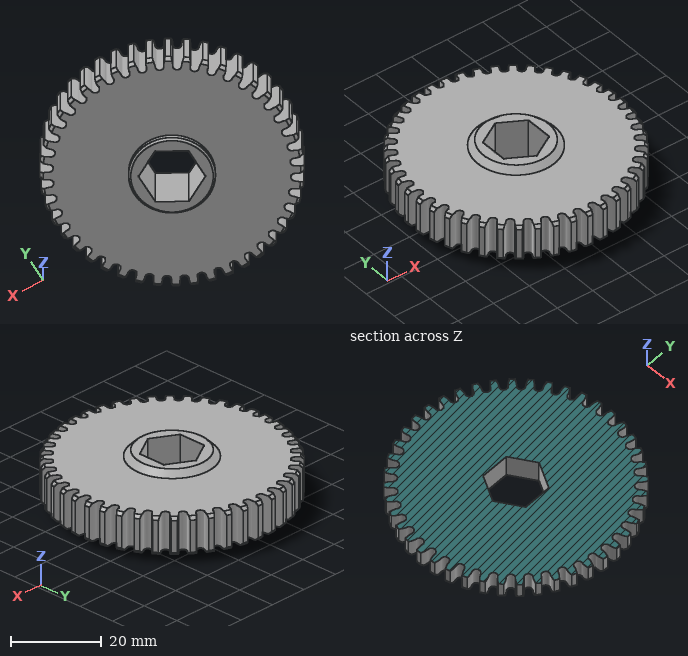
import cadquery as cq
import math

tooth_count = 44
diametral_pitch = 20 / 25.4
outer_radius = (tooth_count + 2) / diametral_pitch / 2
face_width = 9.525
tooth_end_chamfer = 0.762

root_radius = 26.25
gap_half_width = 0.97
base_radius = 27.5
cutter_overlap = 0.3
gap_end_radius = outer_radius + cutter_overlap

hub_height = 1.5875
top_hub_base_radius = 10.7
top_hub_taper = 45
bottom_hub_radius = 9.6
bottom_hub_chamfer = 0.5
hex_across_flats = 12.8

half_width = face_width / 2
total_height = face_width + 2 * hub_height


def flank_point(radius, side):
    """Point on the involute flank at a radius, for a gap centred on the X axis."""
    pressure_angle = math.acos(base_radius / radius)
    involute_angle = math.tan(pressure_angle) - pressure_angle
    angle = gap_half_width / base_radius + involute_angle
    return (radius * math.cos(angle), side * radius * math.sin(angle))


def make_gap_cutter():
    """Prism that removes one tooth gap, centred on the X axis."""
    root_center = root_radius + gap_half_width
    flank_middle_radius = (base_radius + gap_end_radius) / 2
    return (
        cq.Workplane("XY")
        .workplane(offset=-half_width)
        .moveTo(root_center, -gap_half_width)
        .threePointArc((root_radius, 0), (root_center, gap_half_width))
        .lineTo(*flank_point(base_radius, 1))
        .threePointArc(flank_point(flank_middle_radius, 1), flank_point(gap_end_radius, 1))
        .lineTo(*flank_point(gap_end_radius, -1))
        .threePointArc(flank_point(flank_middle_radius, -1), flank_point(base_radius, -1))
        .close()
        .extrude(face_width)
    )


def make_toothed_wheel():
    """Chamfered disc with the tooth gaps cut around its rim, centred on Z = 0."""
    disc = (
        cq.Workplane("XY")
        .circle(outer_radius)
        .extrude(half_width, both=True)
        .edges("%CIRCLE")
        .chamfer(tooth_end_chamfer)
    )
    gap = make_gap_cutter().val()
    gaps = []
    for index in range(tooth_count):
        turn = 360 / tooth_count * index
        gaps.append(gap.rotate(cq.Vector(0, 0, 0), cq.Vector(0, 0, 1), turn))
    return disc.cut(cq.Workplane(cq.Compound.makeCompound(gaps)))


def make_top_hub():
    """Hub on the top face whose whole side is a cone."""
    return (
        cq.Workplane("XY")
        .workplane(offset=half_width)
        .circle(top_hub_base_radius)
        .extrude(hub_height, taper=top_hub_taper)
    )


def make_bottom_hub():
    """Cylindrical hub under the wheel with a chamfered lower rim."""
    return (
        cq.Workplane("XY")
        .workplane(offset=-half_width)
        .circle(bottom_hub_radius)
        .extrude(-hub_height)
        .faces("<Z")
        .chamfer(bottom_hub_chamfer)
    )


def make_hex_bore():
    """Hexagonal prism with two corners on the Y axis, as tall as the part."""
    across_corners = hex_across_flats / math.cos(math.pi / 6)
    return (
        cq.Workplane("XY")
        .polygon(6, across_corners)
        .extrude(total_height / 2, both=True)
        .rotate((0, 0, 0), (0, 0, 1), 30)
    )


result = make_toothed_wheel().union(make_top_hub()).union(make_bottom_hub()).cut(make_hex_bore())